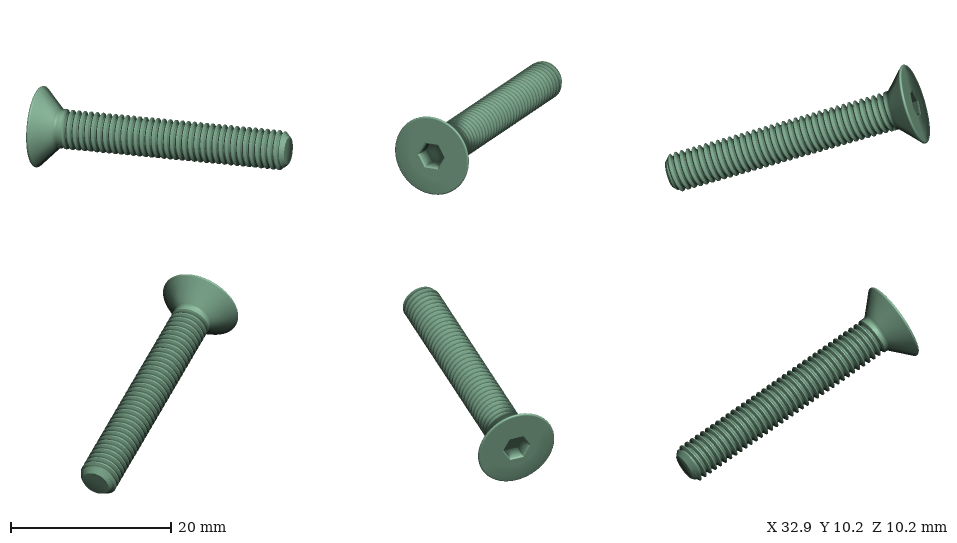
import cadquery as cq
import math

LENGTH = 32.9
HEAD_RADIUS = 5.115
HEAD_EDGE_FILLET = 0.2
NECK_FILLET = 0.53
SHANK_RADIUS = 2.5
TIP_RADIUS = 1.75

SOCKET_ACROSS_FLATS = 2.93
SOCKET_MOUTH_ACROSS_FLATS = 3.25
SOCKET_DEPTH = 1.9

GROOVE_START_X = 3.45
GROOVE_START_ANGLE = 45.0
CRESTS_SPAN = 28.82
PITCHES_IN_SPAN = 36
PITCH = CRESTS_SPAN / PITCHES_IN_SPAN
ROOT_FLAT = PITCH / 4
CREST_FLAT = PITCH / 8
FLANK_SLOPE = math.tan(math.radians(30))
THREAD_DEPTH = (PITCH - ROOT_FLAT - CREST_FLAT) / 2 / FLANK_SLOPE
GROOVE_CLEARANCE = 0.03
PASS_LENGTH = 4 * PITCH
PASS_COUNT = math.ceil((LENGTH - GROOVE_START_X) / PASS_LENGTH)


def screw_blank():
    """Countersunk head, shank and chamfered tip as one turned body."""
    diagonal = math.sqrt(0.5)
    half_diagonal_sin = math.sin(math.radians(22.5))
    half_diagonal_cos = math.cos(math.radians(22.5))

    edge_x = HEAD_EDGE_FILLET
    edge_r = HEAD_RADIUS - HEAD_EDGE_FILLET
    edge_middle = (edge_x - HEAD_EDGE_FILLET * half_diagonal_cos, edge_r + HEAD_EDGE_FILLET * half_diagonal_sin)
    edge_end = (edge_x + HEAD_EDGE_FILLET * diagonal, edge_r + HEAD_EDGE_FILLET * diagonal)

    cone_end_x = edge_end[0] + edge_end[1] - SHANK_RADIUS
    neck_x = cone_end_x + NECK_FILLET * math.tan(math.radians(22.5))
    neck_r = SHANK_RADIUS + NECK_FILLET
    neck_start = (neck_x - NECK_FILLET * diagonal, neck_r - NECK_FILLET * diagonal)
    neck_middle = (neck_x - NECK_FILLET * half_diagonal_sin, neck_r - NECK_FILLET * half_diagonal_cos)

    tip_start_x = LENGTH - (SHANK_RADIUS - TIP_RADIUS)
    return (
        cq.Workplane("XZ")
        .moveTo(0, 0)
        .lineTo(0, edge_r)
        .threePointArc(edge_middle, edge_end)
        .lineTo(*neck_start)
        .threePointArc(neck_middle, (neck_x, SHANK_RADIUS))
        .lineTo(tip_start_x, SHANK_RADIUS)
        .lineTo(LENGTH, TIP_RADIUS)
        .lineTo(LENGTH, 0)
        .close()
        .revolve(360, (0, 0, 0), (1, 0, 0))
    )


def hexagon(x, across_flats):
    """Hexagon normal to X with its flats facing +Z and -Z."""
    return cq.Workplane("YZ", origin=(x, 0, 0)).polygon(6, across_flats / math.cos(math.radians(30)))


def socket():
    """Hexagonal recess with a 45 degree bevel around its mouth."""
    bevel = (SOCKET_MOUTH_ACROSS_FLATS - SOCKET_ACROSS_FLATS) / 2
    mouth = hexagon(0, SOCKET_MOUTH_ACROSS_FLATS).extrude(bevel, taper=45)
    return hexagon(0, SOCKET_ACROSS_FLATS).extrude(SOCKET_DEPTH).union(mouth)


def groove_pass():
    """First pass of the helical trapezoid cutter, swept along Z and then laid along X."""
    root_radius = SHANK_RADIUS - THREAD_DEPTH
    outer_radius = SHANK_RADIUS + GROOVE_CLEARANCE
    root_half = ROOT_FLAT / 2
    outer_half = root_half + (outer_radius - root_radius) * FLANK_SLOPE
    helix = cq.Wire.makeHelix(PITCH, PASS_LENGTH, root_radius)
    return (
        cq.Workplane("XZ")
        .polyline([
            (root_radius, -root_half),
            (root_radius, root_half),
            (outer_radius, outer_half),
            (outer_radius, -outer_half),
        ])
        .close()
        .sweep(cq.Workplane(helix), isFrenet=True)
        .rotate((0, 0, 0), (0, 1, 0), 90)
        .rotate((0, 0, 0), (1, 0, 0), -GROOVE_START_ANGLE)
        .translate((GROOVE_START_X, 0, 0))
    )


result = screw_blank().cut(socket())
first_pass = groove_pass()
for pass_index in range(PASS_COUNT):
    result = result.cut(first_pass.translate((pass_index * PASS_LENGTH, 0, 0)))